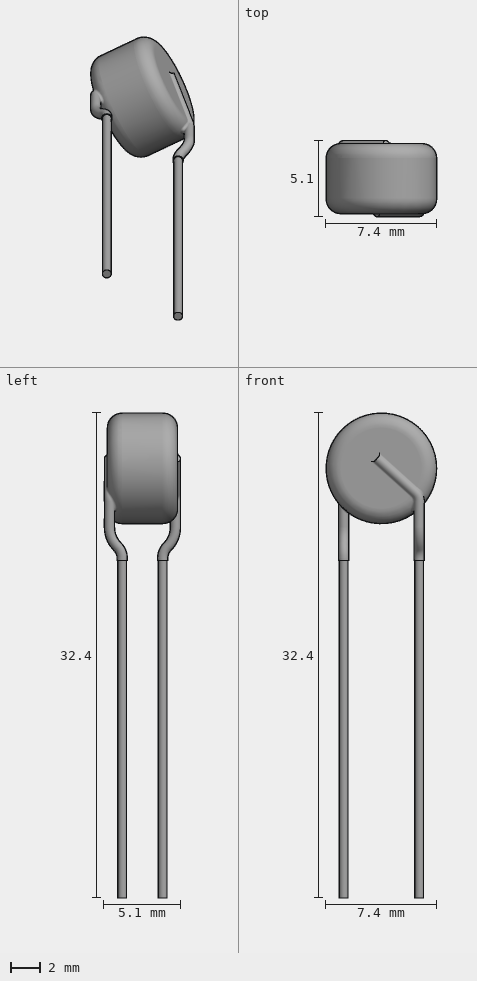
import cadquery as cq
import math

body_diameter = 7.4
body_thickness = 4.7
body_edge_radius = 1.0

overall_height = 32.4
coating_diameter = 0.7
wire_diameter = 0.6
lead_offset_x = 2.52
lead_span_y = 5.1

diagonal_tip_x = -0.3
diagonal_angle = 42.0
corner_radius = 0.7
drop_start_z = -2.2
drop_end_z = -3.95
bend_angle = 45.0
upper_bend_radius = 1.8
lower_bend_radius = 1.1
collar_length = 0.15

blend_radius = 0.15
match_tolerance = 1e-3

bottom_z = body_diameter / 2 - overall_height
coated_y = -(lead_span_y - coating_diameter) / 2


def make_body():
    disc = (
        cq.Workplane("XZ", origin=(0, body_thickness / 2, 0))
        .circle(body_diameter / 2)
        .extrude(body_thickness)
    )
    return disc.faces("<Y or >Y").edges().fillet(body_edge_radius)


def arc_point(center, radius, angle):
    """Point on an arc; the angle is in degrees from the first axis towards the second."""
    turn = math.radians(angle)
    return (center[0] + radius * math.cos(turn), center[1] + radius * math.sin(turn))


def make_face_run():
    """Coated lead lying on the front face: diagonal, rounded corner, vertical drop."""
    center = (lead_offset_x - corner_radius, drop_start_z)
    turn = 90 - diagonal_angle
    corner_start = arc_point(center, corner_radius, turn)
    rise = (corner_start[0] - diagonal_tip_x) * math.tan(math.radians(diagonal_angle))
    tip = (diagonal_tip_x, corner_start[1] + rise)
    path = (
        cq.Workplane("XZ", origin=(0, coated_y, 0))
        .moveTo(lead_offset_x, drop_end_z)
        .lineTo(lead_offset_x, drop_start_z)
        .threePointArc(arc_point(center, corner_radius, turn / 2), corner_start)
        .lineTo(*tip)
    )
    profile = cq.Workplane("XY", origin=(lead_offset_x, coated_y, drop_end_z)).circle(coating_diameter / 2)
    return profile.sweep(path)


def make_bend_and_wire():
    """Coated S-bend towards the middle plane, its end collar and the bare wire below."""
    upper_center = (coated_y + upper_bend_radius, drop_end_z)
    bend_middle = arc_point(upper_center, upper_bend_radius, 180 + bend_angle)
    lower_center = arc_point(bend_middle, lower_bend_radius, 180 + bend_angle)
    wire_y = lower_center[0] + lower_bend_radius
    bend_end_z = lower_center[1]
    collar_end_z = bend_end_z - collar_length
    path = (
        cq.Workplane("YZ", origin=(lead_offset_x, 0, 0))
        .moveTo(coated_y, drop_end_z)
        .threePointArc(arc_point(upper_center, upper_bend_radius, 180 + bend_angle / 2), bend_middle)
        .threePointArc(arc_point(lower_center, lower_bend_radius, bend_angle / 2), (wire_y, bend_end_z))
        .lineTo(wire_y, collar_end_z)
    )
    profile = cq.Workplane("XY", origin=(lead_offset_x, coated_y, drop_end_z)).circle(coating_diameter / 2)
    bend = profile.sweep(path)
    wire = (
        cq.Workplane("XY", origin=(lead_offset_x, wire_y, bottom_z))
        .circle(wire_diameter / 2)
        .extrude(collar_end_z - bottom_z)
    )
    return bend.union(wire)


def blend_leads(body):
    """Fillet the lines along which the coated leads meet the disc."""
    face_y = body_thickness / 2
    rim_curves = body.edges("%BSPLINE").vals()
    face_lines = [
        line for line in body.edges("%LINE").vals()
        if abs(abs(line.Center().y) - face_y) < match_tolerance
    ]
    return body.newObject(rim_curves + face_lines).fillet(blend_radius)


def half_turn(lead):
    """The opposite lead: the same shape turned half a turn about Z."""
    return lead.rotate((0, 0, 0), (0, 0, 1), 180)


face_run = make_face_run()
result = blend_leads(make_body().union(face_run).union(half_turn(face_run)))

bend_and_wire = make_bend_and_wire()
result = result.union(bend_and_wire).union(half_turn(bend_and_wire))